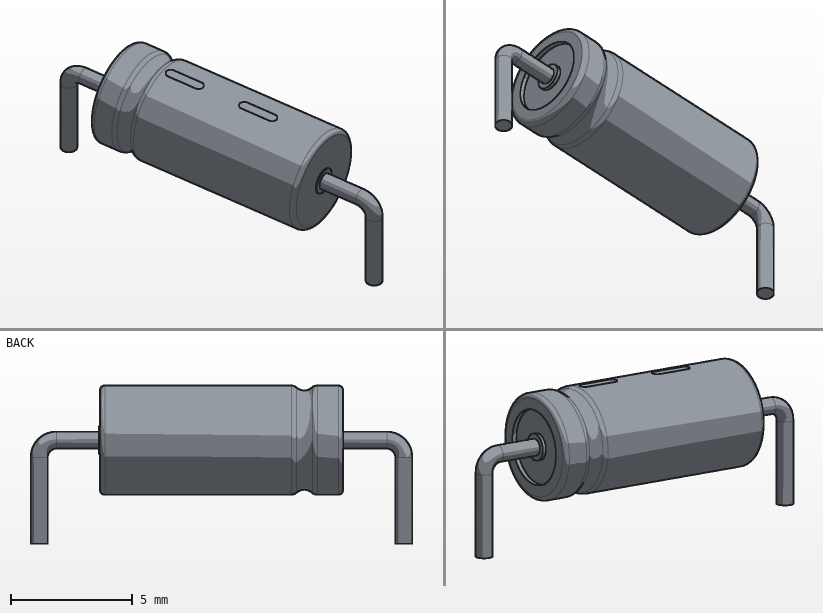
import cadquery as cq
import math


body_length = 10.0
body_diameter = 4.5
end_fillet = 0.2

groove_offset = 1.6
groove_half_width = 0.53
groove_floor_half_width = 0.33
groove_depth = 0.2

recess_diameter = 3.17
recess_depth = 0.2
collar_diameter = 1.13
front_collar_height = 0.15
rear_collar_height = 0.05

overall_length = 15.7
overall_height = 6.52
lead_diameter = 0.7
bend_radius = 0.7

mark_length = 1.8
mark_width = 0.44
mark_spacing = 3.61
mark_embed = 0.15

half_body = body_length / 2
body_radius = body_diameter / 2
recess_floor = -half_body + recess_depth
lead_x = (overall_length - lead_diameter) / 2
lead_bottom = body_radius - overall_height


def make_can():
    """Revolve the half outline, with its crimp groove, about the X axis."""
    groove_x = -half_body + groove_offset
    radius_sum = (groove_half_width**2 + groove_depth**2) / (2 * groove_depth)
    floor_radius = radius_sum * groove_floor_half_width / groove_half_width
    floor_rise = floor_radius - math.sqrt(floor_radius**2 - groove_floor_half_width**2)
    lip_radius = radius_sum - floor_radius
    floor_r = body_radius - groove_depth
    blend_r = floor_r + floor_rise

    lip_angle = math.asin(groove_half_width / radius_sum) / 2
    lip_mid_offset = groove_half_width - lip_radius * math.sin(lip_angle)
    lip_mid_r = body_radius - lip_radius * (1 - math.cos(lip_angle))

    outline = (
        cq.Workplane("XY")
        .moveTo(-half_body, 0)
        .lineTo(-half_body, body_radius)
        .lineTo(groove_x - groove_half_width, body_radius)
        .threePointArc((groove_x - lip_mid_offset, lip_mid_r), (groove_x - groove_floor_half_width, blend_r))
        .threePointArc((groove_x, floor_r), (groove_x + groove_floor_half_width, blend_r))
        .threePointArc((groove_x + lip_mid_offset, lip_mid_r), (groove_x + groove_half_width, body_radius))
        .lineTo(half_body, body_radius)
        .lineTo(half_body, 0)
        .close()
    )
    can = outline.revolve(360, (0, 0, 0), (1, 0, 0))
    return can.faces("<X or >X").edges().fillet(end_fillet)


def disc(start_x, diameter, length):
    """Cylinder on the can axis running from start_x toward +X."""
    return cq.Workplane("YZ").workplane(offset=start_x).circle(diameter / 2).extrude(length)


def make_lead(side, start_x):
    """Round wire leaving the can along X and bending down; side is -1 or +1."""
    bend_start = lead_x - bend_radius
    bend_mid = bend_radius * math.sqrt(0.5)
    path = (
        cq.Workplane("XZ")
        .moveTo(start_x, 0)
        .lineTo(side * bend_start, 0)
        .threePointArc((side * (bend_start + bend_mid), bend_mid - bend_radius), (side * lead_x, -bend_radius))
        .lineTo(side * lead_x, lead_bottom)
    )
    return cq.Workplane("YZ").workplane(offset=start_x).circle(lead_diameter / 2).sweep(path)


def make_marks():
    """Slot-shaped pads whose flat tops touch the crest of the can."""
    return (
        cq.Workplane("XY")
        .workplane(offset=body_radius - mark_embed)
        .rarray(mark_spacing, 0.15, 2, 1)
        .slot2D(mark_length, mark_width)
        .extrude(mark_embed)
    )


result = (
    make_can()
    .cut(disc(-half_body, recess_diameter, recess_depth))
    .union(disc(recess_floor - front_collar_height, collar_diameter, front_collar_height))
    .union(disc(half_body, collar_diameter, rear_collar_height))
    .union(make_lead(-1, recess_floor))
    .union(make_lead(1, half_body))
    .union(make_marks())
)